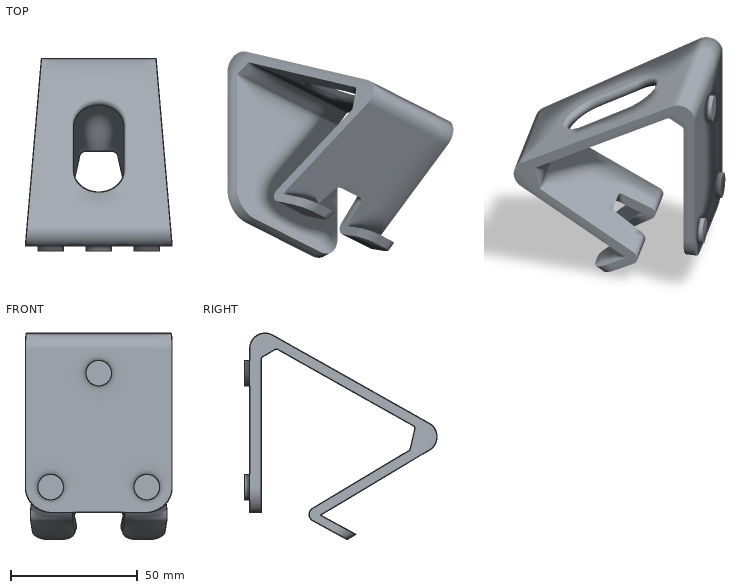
import cadquery as cq
import math

OVERALL_HEIGHT = 81.5
PLATE_WIDTH = 58.0
PLATE_THICKNESS = 4.65
PLATE_CORNER_RADIUS = 10.0
TOP_Z = 70.8
NOSE_Y = 74.0
BEND_RADIUS = 6.1
ARM_THICKNESS = 4.0
UPPER_ARM_ANGLE = 29.4
LOWER_ARM_ANGLE = 30.9
NOSE_HALF_WIDTH = 22.7

TOP_FLAT_Z = 61.1
TOP_FLAT_ANGLE = 30.3
NOSE_FLAT_Y = 65.4
NOSE_FLAT_RISE = 4.0
NOSE_FLAT_ANGLE = 77.3
FLAT_RADIUS = 1.0

HOOK_Y = 28.0
HOOK_ANGLE = 28.6
HOOK_THICKNESS = 3.4
HOOK_BEND_RADIUS = 2.85
HOOK_BOTTOM_Z = TOP_Z - OVERALL_HEIGHT
HOOK_CORNER_RADIUS = 6.0

NOTCH_END_Y = 37.3
NOTCH_END_HALF_WIDTH = 7.1
NOTCH_FLARE_ANGLE = 10.9
NOTCH_CORNER_RADIUS = 2.45
NOTCH_LENGTH = 24.45
NOTCH_DEPTH = 20.4

SLOT_Y = 39.45
SLOT_WIDTH = 20.0
SLOT_STRAIGHT = SLOT_WIDTH
SLOT_ROUNDING = 1.95

FOOT_DIAMETER = 10.1
FOOT_HEIGHT = 2.0
FOOT_SPACING_X = PLATE_WIDTH - 2 * PLATE_CORNER_RADIUS
FOOT_RISE = 45.0

EDGE_SEARCH = 0.8


def line(point, angle):
    """A line in the YZ plane as a point and a unit direction; the angle is measured from +Y."""
    turn = math.radians(angle)
    return point, (math.cos(turn), math.sin(turn))


def offset(base, distance):
    """The line moved sideways, to the left of its direction."""
    (y, z), (dy, dz) = base
    return (y - distance * dz, z + distance * dy), (dy, dz)


def meet(first, second):
    """The point where two lines cross."""
    (y1, z1), (dy1, dz1) = first
    (y2, z2), (dy2, dz2) = second
    travel = ((y2 - y1) * dz2 - (z2 - z1) * dy2) / (dy1 * dz2 - dz1 * dy2)
    return y1 + travel * dy1, z1 + travel * dz1


def rounded_outline(plane, corners):
    """A closed wire through (u, v, radius) corners, with an arc at each corner that has a radius."""
    outline = cq.Workplane(plane)
    count = len(corners)
    for index, (u, v, radius) in enumerate(corners):
        before = corners[index - 1]
        after = corners[(index + 1) % count]
        to_before = cq.Vector(before[0] - u, before[1] - v).normalized()
        to_after = cq.Vector(after[0] - u, after[1] - v).normalized()
        corner = cq.Vector(u, v)
        half_angle = to_before.getAngle(to_after) / 2
        setback = radius / math.tan(half_angle)
        start = corner + to_before * setback
        end = corner + to_after * setback
        to_center = (to_before + to_after).normalized()
        middle = corner + to_center * (radius / math.sin(half_angle) - radius)
        outline = outline.lineTo(start.x, start.y) if index else outline.moveTo(start.x, start.y)
        if radius:
            outline = outline.threePointArc((middle.x, middle.y), (end.x, end.y))
    return outline.close()


plate_outer = line((0, 0), 90)
plate_inner = line((PLATE_THICKNESS, 0), 90)
top_bend_center = (BEND_RADIUS, TOP_Z - BEND_RADIUS)
upper_core = line(top_bend_center, -UPPER_ARM_ANGLE)
upper_outer = offset(upper_core, BEND_RADIUS)
upper_inner = offset(upper_outer, -ARM_THICKNESS)
nose_center = meet(upper_core, line((NOSE_Y - BEND_RADIUS, 0), 90))
lower_outer = offset(line(nose_center, LOWER_ARM_ANGLE), -BEND_RADIUS)
lower_inner = offset(lower_outer, ARM_THICKNESS)
hook_root = meet(lower_outer, line((HOOK_Y, 0), 90))
hook_inner = line(hook_root, -HOOK_ANGLE)
hook_outer = offset(hook_inner, -HOOK_THICKNESS)
hook_tip_low = meet(hook_outer, line((0, HOOK_BOTTOM_Z), 0))
hook_end = line(hook_tip_low, LOWER_ARM_ANGLE)
hook_tip_high = meet(hook_inner, hook_end)
hook_tip_middle = (
    (hook_tip_low[0] + hook_tip_high[0]) / 2,
    (hook_tip_low[1] + hook_tip_high[1]) / 2,
)
top_flat = line((PLATE_THICKNESS, TOP_FLAT_Z), TOP_FLAT_ANGLE)
nose_flat = line((NOSE_FLAT_Y, nose_center[1] + NOSE_FLAT_RISE), NOSE_FLAT_ANGLE)


def side_profile():
    """The bent strip at full width, before the taper."""
    corners = [
        (0, 0, 0),
        (*meet(plate_outer, upper_outer), BEND_RADIUS),
        (*meet(upper_outer, lower_outer), BEND_RADIUS),
        (*hook_root, 0),
        (*hook_tip_high, 0),
        (*hook_tip_low, 0),
        (*meet(hook_outer, lower_inner), HOOK_BEND_RADIUS),
        (*meet(lower_inner, nose_flat), FLAT_RADIUS),
        (*meet(nose_flat, upper_inner), FLAT_RADIUS),
        (*meet(upper_inner, top_flat), FLAT_RADIUS),
        (*meet(top_flat, plate_inner), FLAT_RADIUS),
        (PLATE_THICKNESS, 0, 0),
    ]
    return rounded_outline("YZ", corners).extrude(PLATE_WIDTH / 2, both=True)


def side_taper():
    """Full-height wedge that narrows the part from the plate to the nose."""
    half = PLATE_WIDTH / 2
    plan = [(-half, 0), (half, 0), (NOSE_HALF_WIDTH, NOSE_Y), (-NOSE_HALF_WIDTH, NOSE_Y)]
    return cq.Workplane("XY").polyline(plan).close().extrude(OVERALL_HEIGHT, both=True)


def surface_plane(surface, y):
    """A plane lying on a sloped surface at the given y: local x runs up the slope, local y along X."""
    origin = meet(surface, line((y, 0), 90))
    dy, dz = surface[1]
    return cq.Plane(origin=(0, *origin), xDir=(0, dy, dz), normal=(0, dz, -dy))


def slot():
    """Straight-sided slot cutter square to the upper arm."""
    plane = surface_plane(upper_outer, SLOT_Y)
    return cq.Workplane(plane).slot2D(SLOT_STRAIGHT + SLOT_WIDTH, SLOT_WIDTH).extrude(ARM_THICKNESS)


def notch():
    """Flared cutter square to the lower arm, wider towards the hooks and reaching past their tips."""
    plane = surface_plane(lower_inner, NOTCH_END_Y)
    flare = math.tan(math.radians(NOTCH_FLARE_ANGLE))
    open_half_width = NOTCH_END_HALF_WIDTH + NOTCH_LENGTH * flare
    corners = [
        (0, -NOTCH_END_HALF_WIDTH, NOTCH_CORNER_RADIUS),
        (0, NOTCH_END_HALF_WIDTH, NOTCH_CORNER_RADIUS),
        (-NOTCH_LENGTH, open_half_width, 0),
        (-NOTCH_LENGTH, -open_half_width, 0),
    ]
    return rounded_outline(plane, corners).extrude(NOTCH_DEPTH)


def round_edges(solid, center, radius):
    """Fillet every edge whose middle lies at the given (y, z), whatever its x."""
    y, z = center
    near = cq.selectors.BoxSelector(
        (-PLATE_WIDTH, y - EDGE_SEARCH, z - EDGE_SEARCH),
        (PLATE_WIDTH, y + EDGE_SEARCH, z + EDGE_SEARCH),
    )
    return solid.edges(near).fillet(radius)


def round_slot_rims(solid):
    """Round the slot's rim on both faces of the upper arm."""
    dy, dz = upper_outer[1]
    arm_faces = solid.faces(cq.selectors.ParallelDirSelector(cq.Vector(0, dz, -dy)))
    reach = (SLOT_STRAIGHT + SLOT_WIDTH) / 2
    around_slot = cq.selectors.BoxSelector(
        (-SLOT_WIDTH, SLOT_Y - reach, 0), (SLOT_WIDTH, SLOT_Y + reach, TOP_Z)
    )
    return arm_faces.edges(around_slot).fillet(SLOT_ROUNDING)


def feet():
    """Two feet centred on the rounded lower corners and one above, on the middle line."""
    centers = [
        (-FOOT_SPACING_X / 2, PLATE_CORNER_RADIUS),
        (FOOT_SPACING_X / 2, PLATE_CORNER_RADIUS),
        (0, PLATE_CORNER_RADIUS + FOOT_RISE),
    ]
    return cq.Workplane("XZ").pushPoints(centers).circle(FOOT_DIAMETER / 2).extrude(FOOT_HEIGHT)


stand = side_profile().intersect(side_taper())
stand = stand.cut(slot()).cut(notch())
stand = round_slot_rims(stand)
stand = round_edges(stand, (PLATE_THICKNESS / 2, 0), PLATE_CORNER_RADIUS)
stand = round_edges(stand, hook_tip_middle, HOOK_CORNER_RADIUS)
result = stand.union(feet())